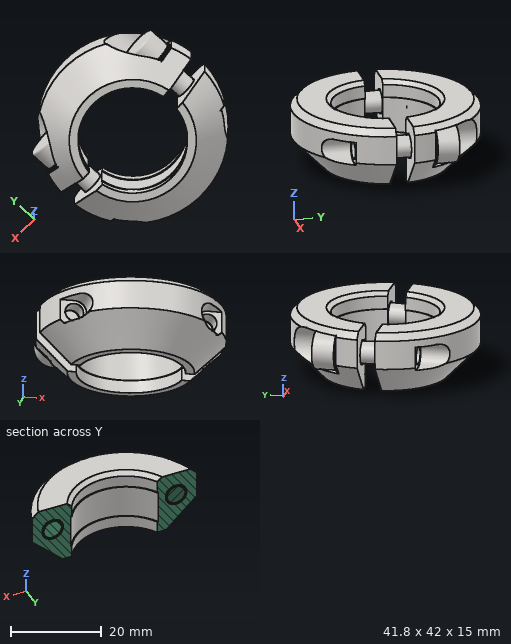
import cadquery as cq

outer_radius = 21.0
height = 15.0
top_chamfer = 1.5
cone_height = 7.0
bore_radius = 12.0
bore_chamfer = 1.0
land_height = 3.0
relief_depth = 0.15
split_gap = 4.0

screw_x = 15.0
screw_z = 9.0

shank_diameter = 5.0
head_diameter = 8.6
head_length = 5.0
head_rounding = 0.5
neck_diameter = 6.9
neck_height = 0.25
tip_y = -6.35
tip_chamfer = 0.5

washer_diameter = 9.25
washer_thickness = 0.38

head_seat_y = 7.0
head_slot_width = 9.5
clearance_diameter = 5.5
tip_slot_y = -10.5
tip_slot_width = 5.5
pilot_diameter = 4.1

bearing_y = head_seat_y + washer_thickness
head_end_y = bearing_y + neck_height + head_length


def y_cylinder(x, diameter, y_start, y_end):
    """Cylinder on a screw axis between two Y positions."""
    plane = cq.Plane(origin=(x, y_start, screw_z), xDir=(1, 0, 0), normal=(0, 1, 0))
    return cq.Workplane(plane).circle(diameter / 2).extrude(y_end - y_start)


def open_slot(side, width, y_start, y_end):
    """Round-backed slot along a screw axis, open towards the outside of the ring."""
    round_back = y_cylinder(side * screw_x, width, y_start, y_end)
    open_side = cq.Workplane("XY").box(outer_radius, y_end - y_start, width).translate(
        (side * (screw_x + outer_radius / 2), (y_start + y_end) / 2, screw_z)
    )
    return round_back.union(open_side)


def make_ring():
    """Full clamp ring: chamfered rim, conical underside and relieved bore."""
    relief_radius = bore_radius + relief_depth
    relief_top = height - bore_chamfer - land_height
    profile = [
        (bore_radius, 0),
        (outer_radius - cone_height, 0),
        (outer_radius, cone_height),
        (outer_radius, height - top_chamfer),
        (outer_radius - top_chamfer, height),
        (bore_radius + bore_chamfer, height),
        (bore_radius, height - bore_chamfer),
        (bore_radius, relief_top),
        (relief_radius, relief_top),
        (relief_radius, land_height),
        (bore_radius, land_height),
    ]
    return cq.Workplane("XZ").polyline(profile).close().revolve(360, (0, 0, 0), (0, 1, 0))


def half_ring(direction):
    """Half of the ring on the +Y (direction 1) or -Y (direction -1) side of the split."""
    keep = cq.Workplane("XY").box(2 * outer_radius, outer_radius, height).translate(
        (0, direction * (split_gap + outer_radius) / 2, height / 2)
    )
    return make_ring().intersect(keep)


def make_head_half():
    """Half that carries the screw heads in open slots, with clearance holes."""
    half = half_ring(1)
    for side in (-1, 1):
        half = half.cut(open_slot(side, head_slot_width, head_seat_y, outer_radius))
        half = half.cut(y_cylinder(side * screw_x, clearance_diameter, 0, head_seat_y))
    return half


def make_threaded_half():
    """Half that takes the screw tips, with pilot holes through to open slots."""
    half = half_ring(-1)
    for side in (-1, 1):
        half = half.cut(open_slot(side, tip_slot_width, -outer_radius, tip_slot_y))
        half = half.cut(y_cylinder(side * screw_x, pilot_diameter, tip_slot_y, 0))
        half = half.cut(y_cylinder(side * screw_x, shank_diameter, tip_y, 0))
    return half


def make_screw(side):
    """Cap screw with a rounded head edge, a narrower bearing face and a chamfered tip."""
    x = side * screw_x
    shank = y_cylinder(x, shank_diameter, tip_y, bearing_y).faces("<Y").chamfer(tip_chamfer)
    neck = y_cylinder(x, neck_diameter, bearing_y, bearing_y + neck_height)
    head = y_cylinder(x, head_diameter, bearing_y + neck_height, head_end_y)
    head = head.faces(">Y").edges().fillet(head_rounding)
    return shank.union(neck).union(head)


def make_washer(side):
    """Thin washer between the slot floor and the screw head."""
    x = side * screw_x
    disc = y_cylinder(x, washer_diameter, head_seat_y, bearing_y)
    return disc.cut(y_cylinder(x, shank_diameter, head_seat_y, bearing_y))


head_half = make_head_half()
threaded_half = make_threaded_half()
screws = [make_screw(side) for side in (-1, 1)]
washers = [make_washer(side) for side in (-1, 1)]

result = cq.Compound.makeCompound(
    [head_half.val(), threaded_half.val()]
    + [screw.val() for screw in screws]
    + [washer.val() for washer in washers]
)